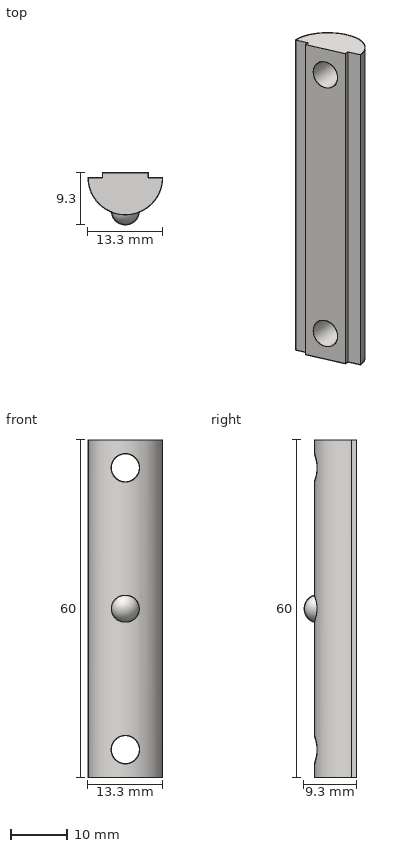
import cadquery as cq

length = 60.0
body_width = 13.25
half_width = body_width / 2
total_depth = 9.3
body_depth = 6.6
side_flat = 0.35
tab_width = 8.15
tab_height = 0.9
hole_diameter = 5.0
hole_edge_distance = 5.0
dome_radius = hole_diameter / 2

hole_offset = length / 2 - hole_edge_distance
dome_tip_depth = total_depth - tab_height
dome_center_y = dome_radius - dome_tip_depth


def make_bar():
    """Half-round bar with narrow flat sides and a shallow raised tab along its flat back."""
    profile = (
        cq.Workplane("XY")
        .workplane(offset=-length / 2)
        .moveTo(-half_width, 0)
        .lineTo(-half_width, -side_flat)
        .threePointArc((0, -body_depth), (half_width, -side_flat))
        .lineTo(half_width, 0)
        .lineTo(tab_width / 2, 0)
        .lineTo(tab_width / 2, tab_height)
        .lineTo(-tab_width / 2, tab_height)
        .lineTo(-tab_width / 2, 0)
        .close()
    )
    return profile.extrude(length)


def make_dome():
    """Ball partly sunk into the round face, leaving a dome at mid-length."""
    return cq.Workplane("XY").sphere(dome_radius).translate((0, dome_center_y, 0))


def make_holes():
    """Two cross holes, one near each end, running front to back."""
    return (
        cq.Workplane("XZ")
        .pushPoints([(0, -hole_offset), (0, hole_offset)])
        .circle(hole_diameter / 2)
        .extrude(total_depth, both=True)
    )


result = make_bar().union(make_dome()).cut(make_holes())